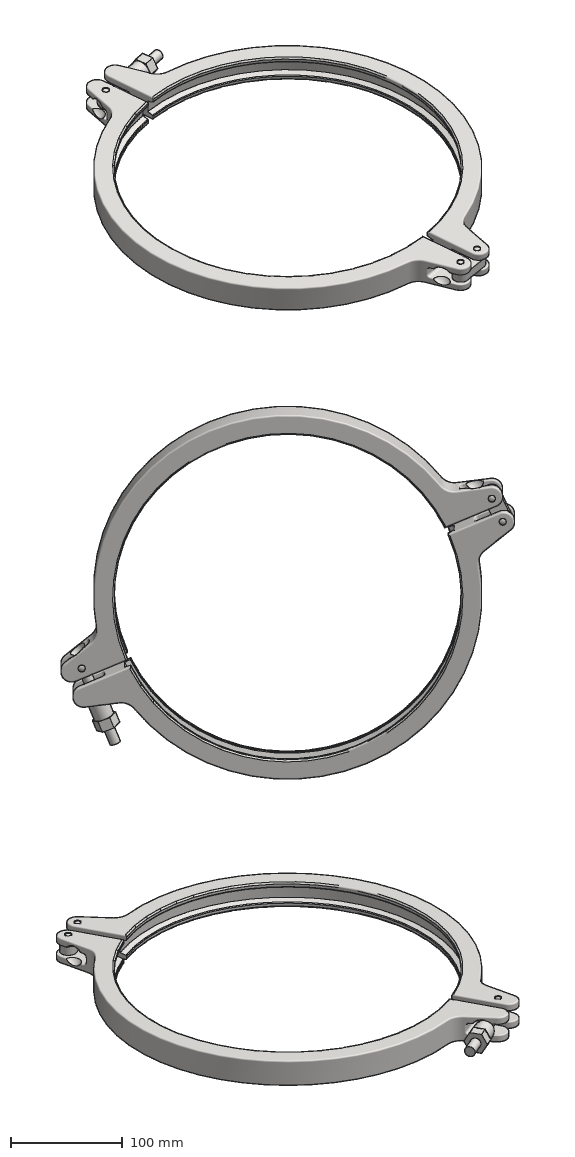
import cadquery as cq
import math

height = 25.3
outer_radius = 173.5
inner_radius = 155.0
half_gap = 3.5
edge_fillet = 1.5

groove_depth = 6.0
groove_mouth = 15.5
groove_floor = 11.5
groove_lip_fillet = 1.0

ear_reach = 215.0
ear_slope = math.radians(16.3)
ear_tip_radius = 9.65
ear_root_radius = 15.0

slot_width = 11.2
slot_end = 181.0
slot_corner_radius = 3.0
slot_mouth_fillet = 1.0

seat_radius = 10.0
seat_x = 195.0
seat_y = 28.0

pin_radius = 3.2
pin_dome = 1.0
bolt_pin_x = -195.7
bolt_pin_y = -12.9
hinge_pin_x = 204.8
hinge_pin_y = 12.0

link_width = 15.5
link_thickness = 9.6

bolt_tilt = 2.2
rod_radius = 5.0
rod_length = 80.9
eye_radius = 8.0
eye_thickness = 10.8
collar_radius = 9.4
collar_start = 40.9
nut_start = 53.7
nut_end = 64.2
nut_across_corners = 22.4


def make_half_outline():
    """Solid upper half: a half ring with a round-tipped, sloping ear at each end."""
    base_x = math.sqrt(inner_radius**2 - half_gap**2)
    tip_x = ear_reach - ear_tip_radius
    tip_y = half_gap + ear_tip_radius
    run = math.cos(ear_slope)
    rise = math.sin(ear_slope)
    back_x = tip_x + ear_tip_radius * rise
    back_y = tip_y + ear_tip_radius * run
    midway = back_x * run - back_y * rise
    back_length = midway - math.sqrt(midway**2 - back_x**2 - back_y**2 + outer_radius**2)
    root_x = back_x - back_length * run
    root_y = back_y + back_length * rise

    half = (
        cq.Workplane("XY", origin=(0, 0, -height / 2))
        .moveTo(base_x, half_gap)
        .lineTo(tip_x, half_gap)
        .threePointArc((ear_reach, tip_y), (back_x, back_y))
        .lineTo(root_x, root_y)
        .threePointArc((0, outer_radius), (-root_x, root_y))
        .lineTo(-back_x, back_y)
        .threePointArc((-ear_reach, tip_y), (-tip_x, half_gap))
        .lineTo(-base_x, half_gap)
        .threePointArc((0, inner_radius), (base_x, half_gap))
        .close()
        .extrude(height)
    )
    for side in (1, -1):
        root = cq.selectors.NearestToPointSelector((side * root_x, root_y, 0))
        half = half.edges("|Z").edges(root).fillet(ear_root_radius)
    return half.faces("|Z").edges().fillet(edge_fillet)


def make_groove():
    """Full disc whose bevelled rim cuts the groove into the ring."""
    groove_radius = inner_radius + groove_depth
    return (
        cq.Workplane("XZ")
        .moveTo(0, -groove_mouth / 2)
        .lineTo(inner_radius, -groove_mouth / 2)
        .lineTo(groove_radius, -groove_floor / 2)
        .lineTo(groove_radius, groove_floor / 2)
        .lineTo(inner_radius, groove_mouth / 2)
        .lineTo(0, groove_mouth / 2)
        .close()
        .revolve(360, (0, 0, 0), (0, 1, 0))
    )


def is_groove_lip(edge):
    on_inner_wall = math.isclose(edge.radius(), inner_radius)
    at_mouth = math.isclose(abs(edge.Center().z), groove_mouth / 2)
    return on_inner_wall and at_mouth


def cut_slot(half, side):
    """Cut the slot through one ear and round its mouth; side is 1 for +X, -1 for -X."""
    length = 2 * (ear_reach - slot_end)
    inner_end = "<X" if side > 0 else ">X"
    slot = (
        cq.Workplane("XY", origin=(side * (slot_end + length / 2), outer_radius / 2, 0))
        .box(length, outer_radius, slot_width)
        .faces(inner_end)
        .edges("|Y")
        .fillet(slot_corner_radius)
    )
    half = half.cut(slot)
    margin = 0.1
    mouth = cq.selectors.BoxSelector(
        (side * (slot_end - margin), 0, -slot_width / 2 - margin),
        (side * (ear_reach + margin), outer_radius, slot_width / 2 + margin),
        boundingbox=True,
    )
    return half.edges(mouth).edges("not(|Y)").fillet(slot_mouth_fillet)


def make_half():
    """Upper half of the clamp, without pin holes."""
    half = make_half_outline().cut(make_groove())
    half = half.edges("%CIRCLE").filter(is_groove_lip).fillet(groove_lip_fillet)
    for side in (1, -1):
        half = cut_slot(half, side)
        seat = cq.Workplane("XY", origin=(side * seat_x, seat_y, 0)).sphere(seat_radius)
        half = half.cut(seat)
    return half


def make_pin(x, y):
    """Pin along Z with domed ends, whose tops are flush with the clamp's faces."""
    shoulder = height / 2 - pin_dome
    dome_radius = (pin_radius**2 + pin_dome**2) / (2 * pin_dome)
    half_angle = math.asin(pin_radius / dome_radius) / 2
    mid_x = dome_radius * math.sin(half_angle)
    mid_z = height / 2 - dome_radius * (1 - math.cos(half_angle))
    return (
        cq.Workplane("XZ", origin=(x, y, 0))
        .moveTo(0, -height / 2)
        .threePointArc((mid_x, -mid_z), (pin_radius, -shoulder))
        .lineTo(pin_radius, shoulder)
        .threePointArc((mid_x, mid_z), (0, height / 2))
        .close()
        .revolve(360, (0, 0, 0), (0, 1, 0))
    )


def make_pin_hole(x, y):
    return cq.Workplane("XY", origin=(x, y, -height)).circle(pin_radius).extrude(2 * height)


def make_link():
    """Obround hinge link with its two pins."""
    plate = (
        cq.Workplane("XY", origin=(hinge_pin_x, 0, -link_thickness / 2))
        .slot2D(2 * hinge_pin_y + link_width, link_width, 90)
        .extrude(link_thickness)
    )
    return plate.union(make_pin(hinge_pin_x, hinge_pin_y)).union(make_pin(hinge_pin_x, -hinge_pin_y))


def make_swing_bolt():
    """Eye bolt with its pin and domed nut, built upright from the pin, then tilted."""
    rod = cq.Workplane("XZ").circle(rod_radius).extrude(-rod_length)
    eye = cq.Workplane("XY").sphere(eye_radius).intersect(
        cq.Workplane("XY").box(2 * eye_radius, 2 * eye_radius, eye_thickness)
    )
    dome = cq.Workplane("XY", origin=(0, collar_start, 0)).sphere(collar_radius)
    collar = (
        cq.Workplane("XZ", origin=(0, collar_start, 0))
        .circle(collar_radius)
        .extrude(collar_start - nut_start)
    )
    nut = (
        cq.Workplane("XZ", origin=(0, nut_start, 0))
        .polygon(6, nut_across_corners)
        .extrude(nut_start - nut_end)
    )
    bolt = rod.union(eye).union(dome).union(collar).union(nut).union(make_pin(0, 0))
    return bolt.rotate((0, 0, 0), (0, 0, 1), bolt_tilt).translate((bolt_pin_x, bolt_pin_y, 0))


swing_bolt = make_swing_bolt()
half = make_half()
upper_half = half.cut(make_pin_hole(hinge_pin_x, hinge_pin_y)).cut(swing_bolt)
lower_half = (
    half.mirror("XZ")
    .cut(make_pin_hole(bolt_pin_x, bolt_pin_y))
    .cut(make_pin_hole(hinge_pin_x, -hinge_pin_y))
    .union(make_link())
)

result = cq.Compound.makeCompound([upper_half.val(), lower_half.val(), swing_bolt.val()])